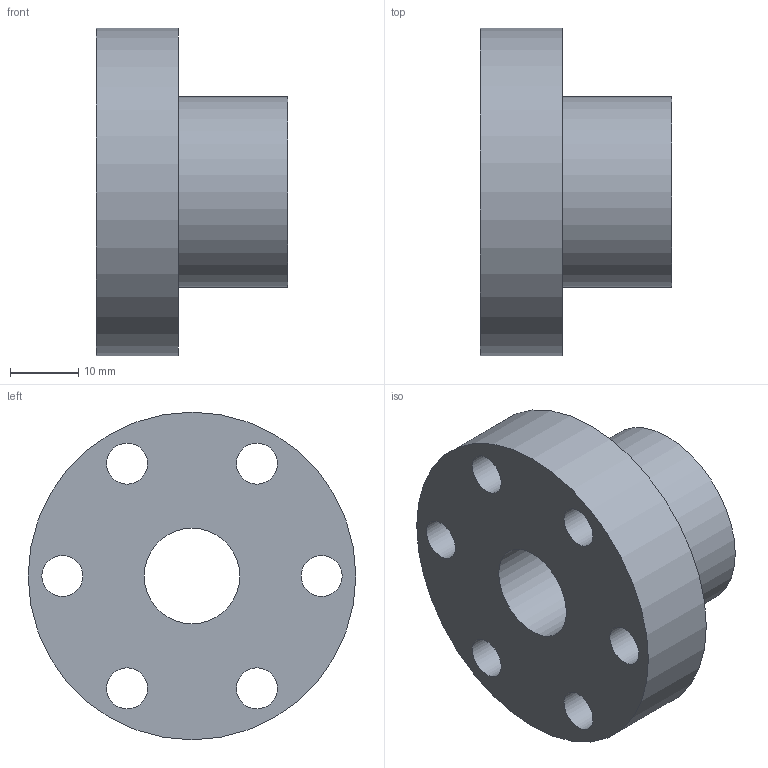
import cadquery as cq

flange_diameter = 48.0
flange_thickness = 12.0
hub_diameter = 28.0
hub_length = 16.0
bore_diameter = 14.0

bolt_hole_count = 6
bolt_hole_diameter = 6.0
bolt_circle_diameter = 38.0

total_length = flange_thickness + hub_length


def cylinder_along_x(diameter, start_x, length):
    """Solid cylinder on the X axis, growing toward +X from start_x."""
    return cq.Workplane("YZ", origin=(start_x, 0, 0)).circle(diameter / 2).extrude(length)


def make_bolt_holes():
    """Ring of through-hole cutters, the first one lying on the Y axis."""
    return (
        cq.Workplane("YZ")
        .polarArray(bolt_circle_diameter / 2, 0, 360, bolt_hole_count)
        .circle(bolt_hole_diameter / 2)
        .extrude(flange_thickness)
    )


flange = cylinder_along_x(flange_diameter, 0, flange_thickness)
hub = cylinder_along_x(hub_diameter, flange_thickness, hub_length)
bore = cylinder_along_x(bore_diameter, 0, total_length)

result = flange.union(hub).cut(bore).cut(make_bolt_holes())